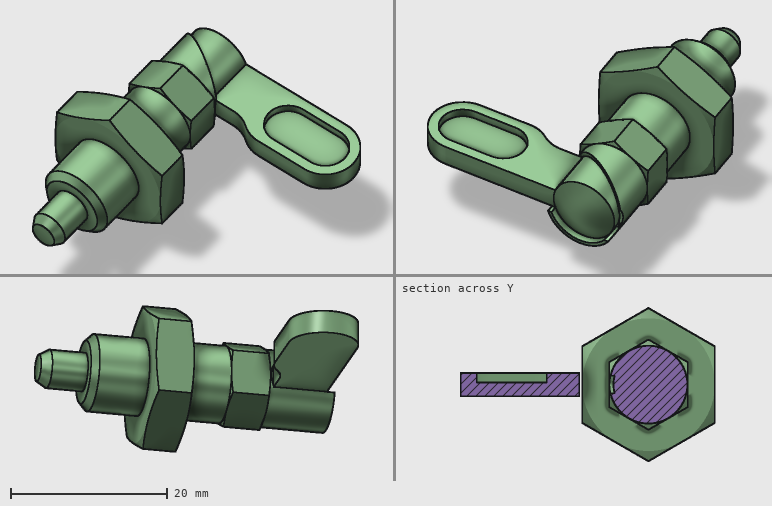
import cadquery as cq
import math


BODY_DIAMETER = 10.0
BODY_RADIUS = BODY_DIAMETER / 2
BODY_LENGTH = 32.0
BODY_CHAMFER = 0.92

PIN_DIAMETER = 5.0
PIN_LENGTH = 6.0
PIN_TIP_DIAMETER = 3.5
PIN_TIP_ANGLE = math.radians(30)
PIN_TIP_LENGTH = (PIN_DIAMETER - PIN_TIP_DIAMETER) / 2 / math.tan(PIN_TIP_ANGLE)

NUT_WIDTH = 17.0
NUT_START = 7.5
NUT_THICKNESS = 5.0
COLLAR_WIDTH = BODY_DIAMETER
COLLAR_START = 18.3
COLLAR_THICKNESS = 5.15
HEX_CHAMFER_ANGLE = math.radians(15)

LEVER_THICKNESS = 3.0
DOME_HEIGHT = 1.0
LEVER_TOP = BODY_LENGTH - DOME_HEIGHT
LEVER_END_X = 25.0
LEVER_END_RADIUS = 4.5
LEVER_END_CENTER_X = LEVER_END_X - LEVER_END_RADIUS
LEVER_CENTER_Y = LEVER_TOP - LEVER_END_RADIUS
LEVER_BOTTOM = LEVER_TOP - 2 * LEVER_END_RADIUS
NECK_BOTTOM = 23.95
NECK_RADIUS = 4.5
SHOULDER_ANGLE = math.radians(37)
PADDLE_START_X = 13.15

RECESS_RADIUS = 3.1
RECESS_SPAN = 6.0
RECESS_DEPTH = 1.2

DRUM_DIAMETER = 8.98
DRUM_RADIUS = DRUM_DIAMETER / 2
BORE_DIAMETER = 9.02

CAM_Y = 27.05
CAM_ANGLE = math.radians(31.5)
CAM_FLOOR_Z = -1.55
NOTCH_RADIUS = 2.85
NOTCH_DEPTH = 0.45


def cylinder(diameter, start, length):
    """Cylinder on the plunger axis, from Y = start toward +Y."""
    plane = cq.Workplane("XZ", origin=(0, start, 0))
    return plane.circle(diameter / 2).extrude(-length)


def revolve_about_y(profile):
    """Close a half profile on the plunger axis and turn it around that axis."""
    return profile.close().revolve(360, (0, 0, 0), (0, 1, 0))


def chamfered_hexagon(width, start, thickness):
    """Hexagon with corners on +Z and -Z and turned corners on both faces."""
    corner_radius = width / math.sqrt(3)
    face_radius = width / 2
    chamfer_height = (corner_radius - face_radius) * math.tan(HEX_CHAMFER_ANGLE)
    end = start + thickness
    hexagon = (
        cq.Workplane("XZ", origin=(0, start, 0))
        .transformed(rotate=(0, 0, 90))
        .polygon(6, 2 * corner_radius)
        .extrude(-thickness)
    )
    envelope = revolve_about_y(
        cq.Workplane("XY")
        .moveTo(0, start)
        .lineTo(face_radius, start)
        .lineTo(corner_radius, start + chamfer_height)
        .lineTo(corner_radius, end - chamfer_height)
        .lineTo(face_radius, end)
        .lineTo(0, end)
    )
    return hexagon.intersect(envelope)


def cam_height(x):
    """Y of the slanted cam face at a given X."""
    return CAM_Y - x * math.tan(CAM_ANGLE)


def cam_notch(side):
    """Round-bottomed detent at the -X (side = -1) or +X (side = 1) end of the cam."""
    center_y = cam_height(side * BODY_RADIUS) - NOTCH_DEPTH + NOTCH_RADIUS
    plane = cq.Workplane("YZ").center(center_y, 0)
    return plane.circle(NOTCH_RADIUS).extrude(side * BODY_DIAMETER)


def cam_cut():
    """Space cleared for the lever to swing: above the slant, plus a detent at each end."""
    slant = (
        cq.Workplane("XY", origin=(0, 0, CAM_FLOOR_Z))
        .moveTo(-BODY_DIAMETER, cam_height(-BODY_DIAMETER))
        .lineTo(BODY_DIAMETER, cam_height(BODY_DIAMETER))
        .lineTo(BODY_DIAMETER, BODY_LENGTH)
        .lineTo(-BODY_DIAMETER, BODY_LENGTH)
        .close()
        .extrude(BODY_DIAMETER)
    )
    above_floor = (
        cq.Workplane("XY", origin=(0, 0, CAM_FLOOR_Z))
        .center(0, BODY_LENGTH / 2)
        .rect(2 * BODY_DIAMETER, BODY_LENGTH)
        .extrude(BODY_DIAMETER)
    )
    return slant.union(cam_notch(1).intersect(above_floor)).union(cam_notch(-1))


def make_body():
    body = cylinder(BODY_DIAMETER, 0, BODY_LENGTH).faces("<Y").chamfer(BODY_CHAMFER)
    body = body.cut(cylinder(BORE_DIAMETER, NECK_BOTTOM, BODY_LENGTH - NECK_BOTTOM))
    body = body.cut(cam_cut())
    body = body.union(chamfered_hexagon(COLLAR_WIDTH, COLLAR_START, COLLAR_THICKNESS))
    return body.union(chamfered_hexagon(NUT_WIDTH, NUT_START, NUT_THICKNESS))


def make_pin():
    radius = PIN_DIAMETER / 2
    return revolve_about_y(
        cq.Workplane("XY")
        .moveTo(0, -PIN_LENGTH)
        .lineTo(PIN_TIP_DIAMETER / 2, -PIN_LENGTH)
        .lineTo(radius, PIN_TIP_LENGTH - PIN_LENGTH)
        .lineTo(radius, BODY_CHAMFER)
        .lineTo(0, BODY_CHAMFER)
    )


def make_drum():
    """Drum with a domed end, rooted in the body below the bore floor."""
    dome_radius = (DRUM_RADIUS**2 + DOME_HEIGHT**2) / (2 * DOME_HEIGHT)
    middle_x = DRUM_RADIUS / 2
    middle_y = BODY_LENGTH - dome_radius + math.sqrt(dome_radius**2 - middle_x**2)
    return revolve_about_y(
        cq.Workplane("XY")
        .moveTo(0, COLLAR_START)
        .lineTo(DRUM_RADIUS, COLLAR_START)
        .lineTo(DRUM_RADIUS, LEVER_TOP)
        .threePointArc((middle_x, middle_y), (0, BODY_LENGTH))
    )


def make_lever():
    """Flat lever whose narrow neck widens to a round-ended paddle."""
    sine = math.sin(SHOULDER_ANGLE)
    cosine = math.cos(SHOULDER_ANGLE)
    slope_low_x = PADDLE_START_X - LEVER_END_RADIUS * sine
    slope_low_y = LEVER_BOTTOM + LEVER_END_RADIUS * (1 - cosine)
    slope_high_y = NECK_BOTTOM - NECK_RADIUS * (1 - cosine)
    slope_high_x = slope_low_x - (slope_high_y - slope_low_y) * cosine / sine
    neck_end_x = slope_high_x - NECK_RADIUS * sine
    half_thickness = LEVER_THICKNESS / 2
    blank = (
        cq.Workplane("XY", origin=(0, 0, -half_thickness))
        .moveTo(0, NECK_BOTTOM)
        .lineTo(neck_end_x, NECK_BOTTOM)
        .tangentArcPoint((slope_high_x, slope_high_y), relative=False)
        .lineTo(slope_low_x, slope_low_y)
        .tangentArcPoint((PADDLE_START_X, LEVER_BOTTOM), relative=False)
        .lineTo(LEVER_END_CENTER_X, LEVER_BOTTOM)
        .threePointArc((LEVER_END_X, LEVER_CENTER_Y), (LEVER_END_CENTER_X, LEVER_TOP))
        .lineTo(0, LEVER_TOP)
        .close()
        .extrude(LEVER_THICKNESS)
    )
    recess = (
        cq.Workplane("XY", origin=(0, 0, half_thickness))
        .center(LEVER_END_CENTER_X - RECESS_SPAN / 2, LEVER_CENTER_Y)
        .slot2D(RECESS_SPAN + 2 * RECESS_RADIUS, 2 * RECESS_RADIUS)
        .extrude(-RECESS_DEPTH)
    )
    return blank.cut(recess)


result = make_body().union(make_pin()).union(make_drum()).union(make_lever())